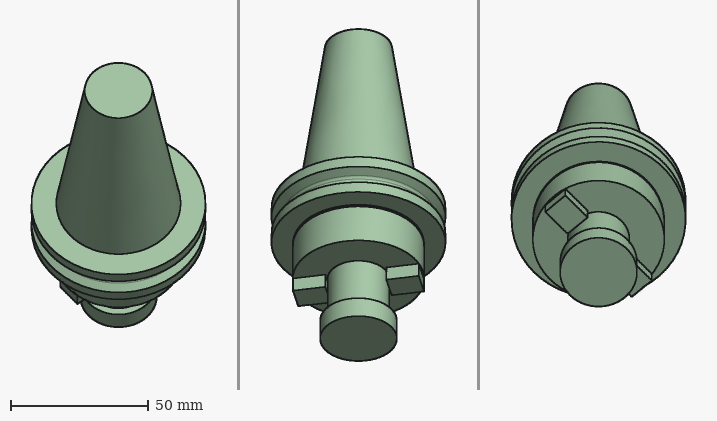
import cadquery as cq
import math

total_height = 130.4
head_top = 8.1
key_bottom = 21.4
body_bottom = 26.9
flange_bottom = 43.0
flange_top = 58.8

head_diameter = 28.0
pilot_diameter = 22.5
body_diameter = 48.0
flange_diameter = 63.5
groove_diameter = 56.2
taper_large_diameter = 45.4
taper_small_diameter = 24.6

groove_mouth = 7.0
groove_side_angle = 30.0
groove_corner_radius = 1.3

relief_height = 0.8
relief_depth = 0.2

key_width = 9.9
key_span = 46.8
key_gap = 22.7


def frustum(bottom, top, bottom_diameter, top_diameter):
    """Solid of revolution about Z with straight sides between two heights."""
    return (
        cq.Workplane("XZ")
        .moveTo(0, bottom)
        .lineTo(bottom_diameter / 2, bottom)
        .lineTo(top_diameter / 2, top)
        .lineTo(0, top)
        .close()
        .revolve(360, (0, 0, 0), (0, 1, 0))
    )


def cylinder(bottom, top, diameter):
    return frustum(bottom, top, diameter, diameter)


def grooved_flange():
    """Disc with a V-groove, rounded at its floor corners, centred on its height."""
    rim_radius = flange_diameter / 2
    floor_radius = groove_diameter / 2
    middle = (flange_bottom + flange_top) / 2
    lower_lip = middle - groove_mouth / 2
    upper_lip = middle + groove_mouth / 2
    side_rise = (rim_radius - floor_radius) * math.tan(math.radians(groove_side_angle))
    groove = (
        cq.Workplane("XZ")
        .moveTo(rim_radius, lower_lip)
        .lineTo(floor_radius, lower_lip + side_rise)
        .lineTo(floor_radius, upper_lip - side_rise)
        .lineTo(rim_radius, upper_lip)
        .close()
        .revolve(360, (0, 0, 0), (0, 1, 0))
        .edges(cq.selectors.RadiusNthSelector(0))
        .fillet(groove_corner_radius)
    )
    return cylinder(flange_bottom, flange_top, flange_diameter).cut(groove)


def drive_keys():
    """Pair of keys on opposite sides of the pilot, their flat inner faces just clear of it."""
    key_length = (key_span - key_gap) / 2
    key_centre = (key_span + key_gap) / 4
    return (
        cq.Workplane("XY")
        .workplane(offset=key_bottom)
        .pushPoints([(0, -key_centre), (0, key_centre)])
        .rect(key_width, key_length)
        .extrude(body_bottom - key_bottom)
    )


relief_bottom = flange_bottom - relief_height
relief_diameter = body_diameter - 2 * relief_depth

result = (
    cylinder(0, head_top, head_diameter)
    .union(cylinder(head_top, body_bottom, pilot_diameter))
    .union(drive_keys())
    .union(cylinder(body_bottom, relief_bottom, body_diameter))
    .union(cylinder(relief_bottom, flange_bottom, relief_diameter))
    .union(grooved_flange())
    .union(frustum(flange_top, total_height, taper_large_diameter, taper_small_diameter))
)